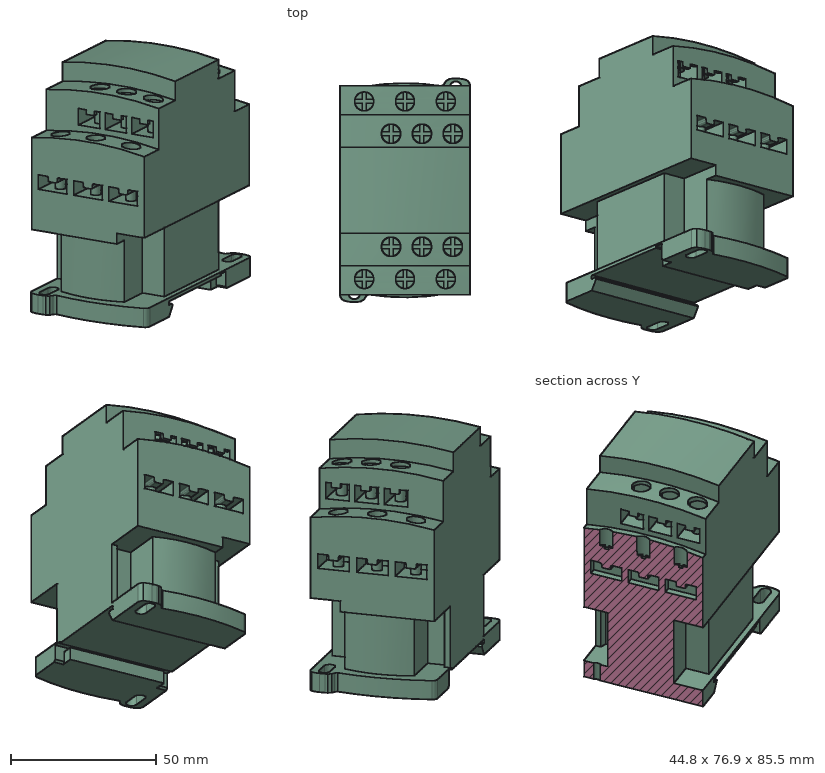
import cadquery as cq
import math

width = 44.8
depth = 76.9
height = 85.5
half_width = width / 2
crown_rise = 2.0

low_half, low_top = 35.9, 64.0
mid_half, mid_top = 26.0, 78.7
high_half, high_top = 14.8, height
housing_bottom = 29.0
raised_bottom = 32.85

core_half = 18.5
core_right = 20.3
core_bottom = 5.6
coil_left, coil_right = -13.5, 11.55
coil_side_y = 31.0
coil_front_y = 33.0
recess_y = 16.2
recess_outer_x = -20.4
recess_inner_x = -19.7

base_top = 6.85
base_bow = 36.9
bow_radius = 79.55
bow_left, bow_right = -12.5, 21.0
corner_y = 32.3
corner_radius = 1.8
ear_start_y = low_half
ear_end_y = depth / 2
ear_corner_bulge = (-22.1, -36.95)
ear_corner = (-21.3, -37.8)
ear_tip_bulge = (-19.9, -38.2)
ear_flat_left, ear_flat_right = -18.4, -16.4
ear_inner_shoulder = (-15.4, -38.3)
ear_inner_corner = (-14.1, -37.6)
ear_neck = (-13.5, -36.7)
ear_hollow = (-13.1, -36.2)
ear_hole_x = -17.45
ear_hole_near, ear_hole_far = 29.85, 35.4
ear_hole_radius = 2.0

rail_wall_y = 19.7
rail_wall_chamfer = 0.8
clip_ceiling = 6.2
clip_step_y = 16.5
clip_tip_y = 15.7
clip_top = 4.5
clip_width = 37.5
hook_root_y = 18.6
hook_throat_y, hook_throat_z = 19.1, 5.05
hook_foot_y = 18.9
hook_shoulder_y, hook_top = 17.0, 4.3
hook_tip_y, hook_tip_z = 16.4, 3.6

screw_slot_width = 1.4
screw_slot_depth = 0.85
low_screw_xs = [-14.0, 0, 14.0]
low_screw_y = 30.5
low_hole_radius = 3.25
low_hole_floor = 56.45
low_shank_radius = 1.8
low_window_width = 11.4
low_window_bottom, low_window_top = 43.9, 49.1
low_dip_width, low_dip_depth = 2 * low_shank_radius, 1.9
low_dip_round = 0.6

mid_screw_xs = [-4.8, 5.8, 16.4]
mid_screw_y = 19.4
mid_hole_radius = 3.3
mid_head_radius = 3.25
mid_head_bottom, mid_head_top = 71.2, 72.7
mid_shank_radius = 1.9
mid_window_width = 8.5
mid_window_offset = -0.5
mid_window_bottom, mid_window_top = 65.95, 71.85
mid_dip_width, mid_dip_depth = 3.25, 1.6
mid_dip_round = 0.25
mid_wall = 1.45


def box(x0, x1, y0, y1, z0, z1):
    return cq.Workplane("XY").box(x1 - x0, y1 - y0, z1 - z0, centered=False).translate((x0, y0, z0))


def cylinder(x, y, radius, z0, z1):
    return cq.Workplane("XY", origin=(x, y, z0)).circle(radius).extrude(z1 - z0)


def both_ends(shape):
    """The shape together with its mirror image about the XZ plane."""
    return shape.union(shape.mirror("XZ"))


def crown_height(x, top):
    """Height of an arched tier top at position x."""
    radius = (half_width**2 + crown_rise**2) / (2 * crown_rise)
    return top - radius + math.sqrt(radius**2 - x**2)


def tier(half_depth, top):
    edge = top - crown_rise
    return (
        cq.Workplane("XZ")
        .moveTo(-half_width, housing_bottom)
        .lineTo(coil_right, housing_bottom)
        .lineTo(coil_right, raised_bottom)
        .lineTo(half_width, raised_bottom)
        .lineTo(half_width, edge)
        .threePointArc((0, top), (-half_width, edge))
        .close()
        .extrude(half_depth, both=True)
    )


def core():
    block = box(-half_width, core_right, -core_half, core_half, core_bottom, raised_bottom)
    recess = (
        cq.Workplane("XY", origin=(0, 0, base_top))
        .polyline([
            (recess_outer_x, -core_half),
            (recess_inner_x, -recess_y),
            (coil_left, -recess_y),
            (coil_left, -core_half),
        ])
        .close()
        .extrude(housing_bottom - base_top)
    )
    return block.cut(both_ends(recess))


def coil():
    middle = (coil_left + coil_right) / 2
    return (
        cq.Workplane("XY", origin=(0, 0, base_top))
        .moveTo(coil_left, coil_side_y)
        .lineTo(coil_left, -coil_side_y)
        .threePointArc((middle, -coil_front_y), (coil_right, -coil_side_y))
        .lineTo(coil_right, coil_side_y)
        .threePointArc((middle, coil_front_y), (coil_left, coil_side_y))
        .close()
        .extrude(housing_bottom - base_top)
    )


def bow_point(x):
    """Point on the bowed -Y end of the base."""
    return (x, -base_bow + bow_radius - math.sqrt(bow_radius**2 - x**2))


def base_end():
    """Half of the base on the -Y side, with its mounting ear at the left."""
    plate = (
        cq.Workplane("XY")
        .moveTo(-half_width, 0)
        .lineTo(-half_width, -ear_start_y)
        .threePointArc(ear_corner_bulge, ear_corner)
        .threePointArc(ear_tip_bulge, (ear_flat_left, -ear_end_y))
        .lineTo(ear_flat_right, -ear_end_y)
        .lineTo(*ear_inner_shoulder)
        .lineTo(*ear_inner_corner)
        .lineTo(*ear_neck)
        .threePointArc(ear_hollow, bow_point(bow_left))
        .threePointArc(bow_point(0), bow_point(bow_right))
        .radiusArc((half_width, -corner_y), -corner_radius)
        .lineTo(half_width, 0)
        .close()
        .extrude(base_top)
    )
    ear_hole = (
        cq.Workplane("XY")
        .center(ear_hole_x, -(ear_hole_near + ear_hole_far) / 2)
        .slot2D(ear_hole_far - ear_hole_near + 2 * ear_hole_radius, 2 * ear_hole_radius, 90)
        .extrude(base_top)
    )
    return plate.cut(ear_hole)


def rail_channel():
    """Channel profile in Y and Z: hooked at the -Y side, open for the clip at the +Y side."""
    return (
        cq.Workplane("YZ", origin=(-half_width, 0, 0))
        .moveTo(rail_wall_y + rail_wall_chamfer, 0)
        .lineTo(rail_wall_y, rail_wall_chamfer)
        .lineTo(rail_wall_y, clip_ceiling)
        .lineTo(clip_step_y, clip_ceiling)
        .lineTo(clip_step_y, core_bottom)
        .lineTo(-hook_root_y, core_bottom)
        .threePointArc((-hook_throat_y, hook_throat_z), (-hook_foot_y, hook_top))
        .lineTo(-hook_shoulder_y, hook_top)
        .lineTo(-hook_tip_y, hook_tip_z)
        .lineTo(-hook_foot_y, 0)
        .close()
        .extrude(width)
    )


def rail_clip():
    return box(-clip_width / 2, clip_width / 2, clip_tip_y, rail_wall_y + rail_wall_chamfer, 0, clip_top)


def window(center_x, dip_x, size, bottom, top, dip_size, dip_round, face_y, wall):
    """Wire opening cut in from a -Y face, its top edge dipping in front of the screw."""
    dip_width, dip_depth = dip_size
    opening = box(center_x - size / 2, center_x + size / 2, -face_y, -face_y + wall, bottom, top)
    dip_left, dip_right = dip_x - dip_width / 2, dip_x + dip_width / 2
    dip = box(dip_left, dip_right, -face_y, -face_y + wall, top - dip_depth, top)
    dip = dip.edges("|Y and <Z").fillet(dip_round)
    shoulders = cq.selectors.BoxSelector(
        (dip_left - dip_round, -face_y, top - dip_round),
        (dip_right + dip_round, -face_y + wall, top + dip_round),
    )
    along_y = cq.selectors.ParallelDirSelector(cq.Vector(0, 1, 0))
    return opening.cut(dip).edges(shoulders & along_y).fillet(dip_round)


def cross_slot(x, y, radius, top):
    length = 2 * radius
    bar = cq.Workplane("XY", origin=(x, y, top - screw_slot_depth)).rect(length, screw_slot_width)
    other = cq.Workplane("XY", origin=(x, y, top - screw_slot_depth)).rect(screw_slot_width, length)
    cross = bar.extrude(screw_slot_depth).union(other.extrude(screw_slot_depth))
    return cross.intersect(cylinder(x, y, radius, top - screw_slot_depth, top))


def low_terminal(x):
    """Cavity of a power terminal: blind screw hole above a window crossed by the shank."""
    opening = window(x, x, low_window_width, low_window_bottom, low_window_top,
                     (low_dip_width, low_dip_depth), low_dip_round, low_half, low_half - mid_half)
    shank = cylinder(x, -low_screw_y, low_shank_radius, low_window_bottom, low_window_top)
    hole = cylinder(x, -low_screw_y, low_hole_radius, low_hole_floor, low_top)
    slot = cross_slot(x, -low_screw_y, low_hole_radius, low_hole_floor)
    return opening.cut(shank).union(hole).union(slot)


def mid_terminal(x):
    """Cavity of an auxiliary terminal: chamber around a headed screw, open to the front and top."""
    window_x = x + mid_window_offset
    roof = crown_height(x, mid_top) - mid_wall
    opening = window(window_x, x, mid_window_width, mid_window_bottom, mid_window_top,
                     (mid_dip_width, mid_dip_depth), mid_dip_round, mid_half, mid_wall)
    chamber = box(window_x - mid_window_width / 2, window_x + mid_window_width / 2,
                  -mid_half + mid_wall, -high_half, mid_window_bottom, roof)
    shank = cylinder(x, -mid_screw_y, mid_shank_radius, mid_window_bottom, mid_head_bottom)
    head = cylinder(x, -mid_screw_y, mid_head_radius, mid_head_bottom, mid_head_top)
    head = head.cut(cross_slot(x, -mid_screw_y, mid_head_radius, mid_head_top))
    hole = cylinder(x, -mid_screw_y, mid_hole_radius, roof, mid_top)
    return chamber.union(opening).cut(shank).cut(head).union(hole)


housing = tier(low_half, low_top).union(tier(mid_half, mid_top)).union(tier(high_half, high_top))
base = base_end().union(base_end().rotate((0, 0, 0), (0, 0, 1), 180))

body = housing.union(core()).union(coil()).union(base).cut(rail_channel())
body = body.union(rail_clip())

for screw_x in low_screw_xs:
    body = body.cut(both_ends(low_terminal(screw_x)))
for screw_x in mid_screw_xs:
    body = body.cut(both_ends(mid_terminal(screw_x)))

result = body